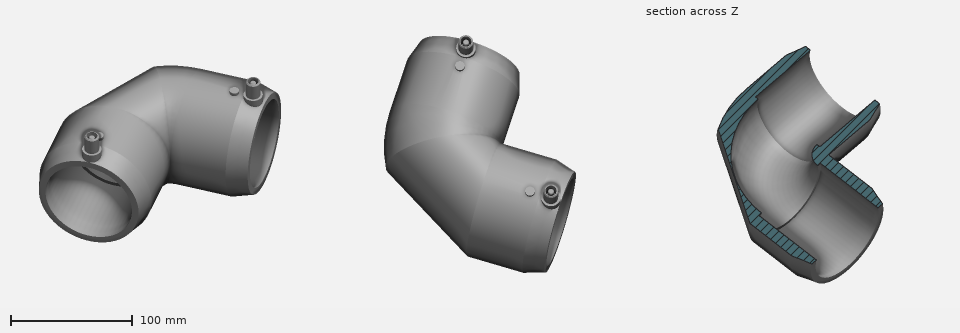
import cadquery as cq
import math

OVERALL_LENGTH = 162.5
OUTER_DIAMETER = 97.0
END_DIAMETER = 86.5
BORE_DIAMETER = 68.6
SOCKET_DIAMETER = 75.0
TAPER_LENGTH = 17.4
ROUND_BEND_ANGLE = 28.0
INSIDE_BEND_RADIUS = 0.08

BOSS_DIAMETER = 16.0
BOSS_TOP = 51.2
PIN_DIAMETER = 12.0
PIN_TOP = 66.0
PIN_CHAMFER = 1.0
PIN_HOLE_DIAMETER = 9.1
CONTACT_DIAMETER = 5.0
CONTACT_CHAMFER = 0.7
CONTACT_RECESS = 1.3
BUTTON_DIAMETER = 8.0
X_LEG_PIN_SETBACK = 9.8
Y_LEG_PIN_SETBACK = 8.0
BUTTON_SETBACK = 26.0

outer_radius = OUTER_DIAMETER / 2
bend_radius = INSIDE_BEND_RADIUS + outer_radius
leg_length = OVERALL_LENGTH - bend_radius - outer_radius
straight_length = leg_length - TAPER_LENGTH
fitting_base = (SOCKET_DIAMETER / 2 + END_DIAMETER / 2) / 2


def y_leg_frame():
    """Workplane at the start of the -Y leg, facing along it."""
    return cq.Workplane("XZ", origin=(-bend_radius, 0, 0))


def leg_body():
    """Straight sleeve with a tapered mouth."""
    sleeve = y_leg_frame().circle(outer_radius).extrude(straight_length)
    mouth = (
        y_leg_frame().workplane(offset=straight_length).circle(outer_radius)
        .workplane(offset=TAPER_LENGTH).circle(END_DIAMETER / 2).loft()
    )
    return sleeve.union(mouth)


def leg_cavity():
    """Pipe socket over the whole leg, ending in a step where the bend begins."""
    return y_leg_frame().circle(SOCKET_DIAMETER / 2).extrude(leg_length)


def to_x_leg(shape):
    """Reflect the -Y leg across the line Y = -X, onto the +X leg."""
    return shape.mirror("XZ").rotate((0, 0, 0), (0, 0, 1), -90)


def swept_bend(diameter, angle):
    """Circle beside the +X leg, turned about the inside corner."""
    return (
        cq.Workplane("YZ").center(bend_radius, 0).circle(diameter / 2)
        .revolve(angle, (-bend_radius, 0), (-bend_radius, 1))
    )


def straight_bend():
    """Elliptic tube joining the end of the round bend to the -Y leg."""
    turn = math.radians(ROUND_BEND_ANGLE)
    toward_round_bend = cq.Vector(-math.sin(turn), math.cos(turn), 0)
    toward_y_leg = cq.Vector(-1, 0, 0)
    upper_center = toward_round_bend * bend_radius
    lower_center = toward_y_leg * bend_radius
    direction = (upper_center - lower_center).normalized()
    across = direction.cross(cq.Vector(0, 0, 1))

    half_width = outer_radius * math.cos((math.pi / 2 - turn) / 2)
    start = lower_center - direction * OUTER_DIAMETER
    end = upper_center + direction * OUTER_DIAMETER
    tube = (
        cq.Workplane(cq.Plane(start, across, direction))
        .ellipse(half_width, outer_radius).extrude((end - start).Length)
    )
    reach = 2 * OUTER_DIAMETER
    wedge = (
        cq.Workplane("XY")
        .lineTo(toward_round_bend.x * reach, toward_round_bend.y * reach)
        .lineTo(toward_y_leg.x * reach, toward_y_leg.y * reach)
        .close().extrude(OUTER_DIAMETER, both=True)
    )
    return tube.intersect(wedge)


def post(x, y, diameter, bottom, top):
    """Upright cylinder between two heights."""
    return (
        cq.Workplane("XY", origin=(x, y, bottom))
        .circle(diameter / 2).extrude(top - bottom)
    )


def terminal(x, y):
    """Hollow connector pin on a boss, with a contact inside the pin."""
    boss = post(x, y, BOSS_DIAMETER, fitting_base, BOSS_TOP)
    pin = post(x, y, PIN_DIAMETER, BOSS_TOP, PIN_TOP).faces(">Z").chamfer(PIN_CHAMFER)
    hole = post(x, y, PIN_HOLE_DIAMETER, BOSS_TOP, PIN_TOP)
    contact = post(x, y, CONTACT_DIAMETER, BOSS_TOP, PIN_TOP - CONTACT_RECESS)
    contact = contact.faces(">Z").chamfer(CONTACT_CHAMFER)
    return boss.union(pin.cut(hole)).union(contact)


def button(x, y):
    """Fusion indicator beside the terminal."""
    return post(x, y, BUTTON_DIAMETER, fitting_base, BOSS_TOP)


body = (
    leg_body()
    .union(to_x_leg(leg_body()))
    .union(swept_bend(OUTER_DIAMETER, ROUND_BEND_ANGLE))
    .union(straight_bend())
)
body = (
    body.cut(leg_cavity())
    .cut(to_x_leg(leg_cavity()))
    .cut(swept_bend(BORE_DIAMETER, 90))
)

result = (
    body.union(terminal(leg_length - X_LEG_PIN_SETBACK, bend_radius))
    .union(terminal(-bend_radius, Y_LEG_PIN_SETBACK - leg_length))
    .union(button(leg_length - BUTTON_SETBACK, bend_radius))
    .union(button(-bend_radius, BUTTON_SETBACK - leg_length))
)